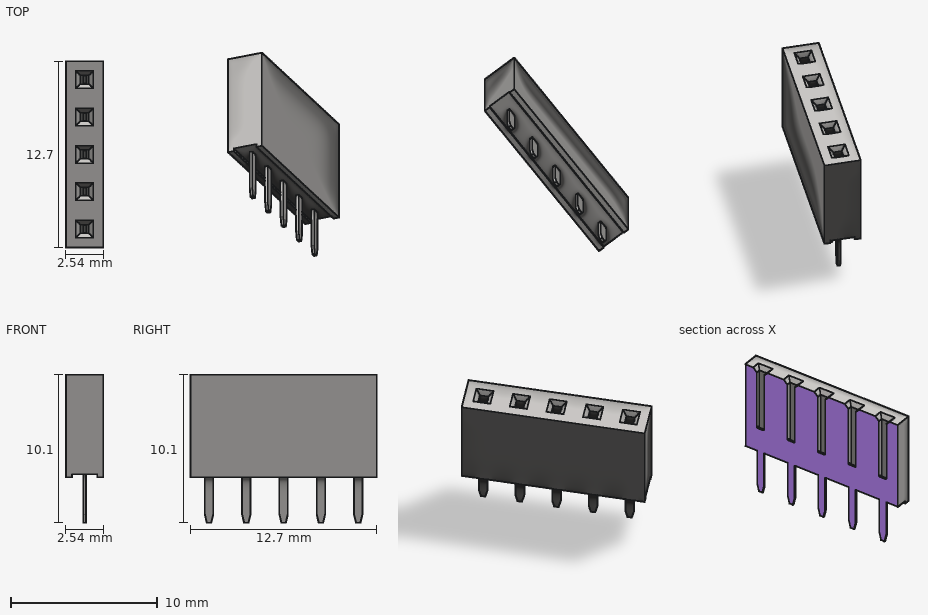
import cadquery as cq

pin_count = 5
pitch = 2.54
housing_width = 2.54
housing_length = pin_count * pitch
housing_height = 7.0
channel_width = 1.7
channel_height = 0.2

funnel_mouth = 1.2
shaft_size = 0.6
funnel_depth = (funnel_mouth - shaft_size) / 2
socket_depth = 5.08

overall_height = 10.1
pin_thickness = 0.2
pin_width = 0.6
tip_width = 0.3
tip_length = 0.6

contact_base_height = 0.2
cradle_bottom_width = 0.51
cradle_slope_height = (pin_width - cradle_bottom_width) / 2

pin_bottom = housing_height - overall_height
socket_floor = housing_height - socket_depth
pin_positions = [(i - (pin_count - 1) / 2) * pitch for i in range(pin_count)]


def make_housing():
    block = cq.Workplane("XY").box(
        housing_width, housing_length, housing_height, centered=(True, True, False)
    )
    channel = cq.Workplane("XY").box(
        channel_width, housing_length, channel_height, centered=(True, True, False)
    )
    return block.cut(channel)


def make_socket(y):
    funnel = (
        cq.Workplane("XY", origin=(0, y, housing_height))
        .rect(funnel_mouth, funnel_mouth)
        .workplane(offset=-funnel_depth)
        .rect(shaft_size, shaft_size)
        .loft(ruled=True)
    )
    shaft = (
        cq.Workplane("XY", origin=(0, y, socket_floor))
        .rect(shaft_size, shaft_size)
        .extrude(socket_depth - funnel_depth)
    )
    return funnel.union(shaft)


def make_pin(y):
    shoulder = pin_bottom + tip_length
    blade = (
        cq.Workplane("YZ", origin=(-pin_thickness / 2, y, 0))
        .moveTo(-tip_width / 2, pin_bottom)
        .lineTo(tip_width / 2, pin_bottom)
        .lineTo(pin_width / 2, shoulder)
        .lineTo(pin_width / 2, socket_floor)
        .lineTo(-pin_width / 2, socket_floor)
        .lineTo(-pin_width / 2, shoulder)
        .close()
        .extrude(pin_thickness)
    )
    cradle_bottom = socket_floor + contact_base_height
    cradle_top = cradle_bottom + cradle_slope_height
    contact = (
        cq.Workplane("YZ", origin=(-pin_thickness / 2, y, 0))
        .moveTo(-pin_width / 2, socket_floor)
        .lineTo(pin_width / 2, socket_floor)
        .lineTo(pin_width / 2, cradle_top)
        .lineTo(cradle_bottom_width / 2, cradle_bottom)
        .lineTo(-cradle_bottom_width / 2, cradle_bottom)
        .lineTo(-pin_width / 2, cradle_top)
        .close()
        .extrude(pin_thickness)
    )
    return blade.union(contact)


result = make_housing()
for y in pin_positions:
    result = result.cut(make_socket(y)).union(make_pin(y))